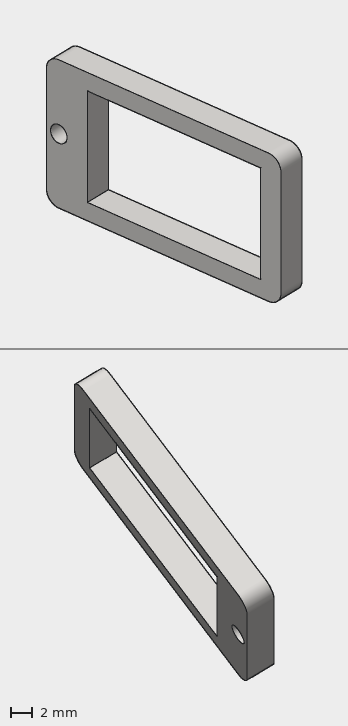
import cadquery as cq

length = 28.5
thickness = 3.0
height = 16.0
corner_radius = 1.5

left_border = 5.0
right_border = 2.5
edge_border = 2.0
window_length = length - left_border - right_border
window_height = height - 2 * edge_border
window_x = (left_border - right_border) / 2

hole_diameter = 2.0
hole_x = -length / 2 + corner_radius

plate = cq.Workplane("XZ").rect(length, height).extrude(thickness / 2, both=True)
plate = plate.edges("|Y").fillet(corner_radius)

window = (
    cq.Workplane("XZ")
    .center(window_x, 0)
    .rect(window_length, window_height)
    .extrude(thickness, both=True)
)

hole = (
    cq.Workplane("XZ")
    .center(hole_x, 0)
    .circle(hole_diameter / 2)
    .extrude(thickness, both=True)
)

result = plate.cut(window).cut(hole)